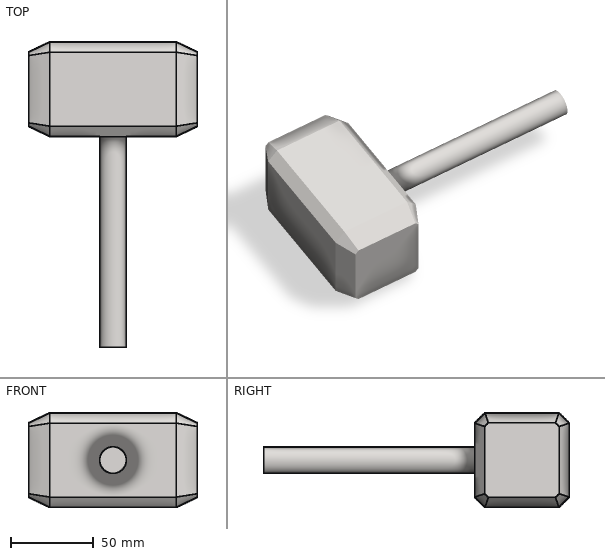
import cadquery as cq

head_length = 101.7
head_width = 57.0
body_bevel = 6.3
taper_length = 12.7
taper_inset = 6.0
end_face_bevel = 2.2

overall_length = 184.2
handle_diameter = 16.0

handle_length = overall_length - head_width
head_front_y = -head_width / 2
body_length = head_length - 2 * taper_length
end_face_width = head_width - 2 * taper_inset


def bevelled_square(width, bevel):
    """Corner points of a centred square whose corners are cut off at 45 degrees."""
    outer = width / 2
    inner = outer - bevel
    return [
        (outer, -inner),
        (outer, inner),
        (inner, outer),
        (-inner, outer),
        (-outer, inner),
        (-outer, -inner),
        (-inner, -outer),
        (inner, -outer),
    ]


def make_body():
    return (
        cq.Workplane("YZ", origin=(-body_length / 2, 0, 0))
        .polyline(bevelled_square(head_width, body_bevel))
        .close()
        .extrude(body_length)
    )


def make_tapered_end():
    """The tapered end on the +X side of the body."""
    return (
        cq.Workplane("YZ", origin=(body_length / 2, 0, 0))
        .polyline(bevelled_square(head_width, body_bevel))
        .close()
        .workplane(offset=taper_length)
        .polyline(bevelled_square(end_face_width, end_face_bevel))
        .close()
        .loft(ruled=True)
    )


def make_handle():
    return (
        cq.Workplane("XZ", origin=(0, head_front_y, 0))
        .circle(handle_diameter / 2)
        .extrude(handle_length)
    )


tapered_end = make_tapered_end()
head = make_body().union(tapered_end).union(tapered_end.mirror("YZ"))
result = head.union(make_handle())